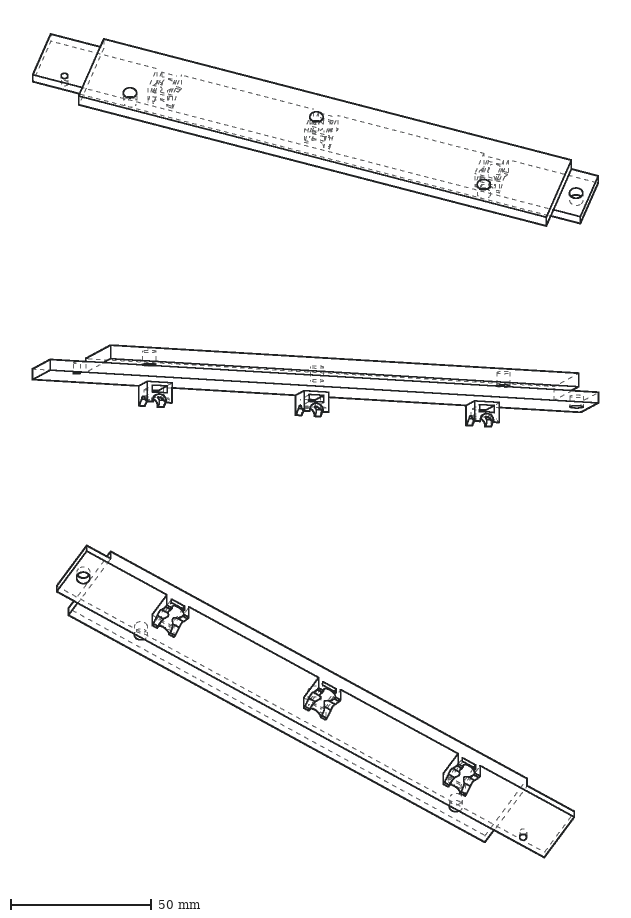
import cadquery as cq

BAR_LENGTH = 206.0
BAR_DEPTH = 20.0
BAR_THICKNESS = 4.0

PLATE_START = 20.0
PLATE_END = 196.0
PLATE_DEPTH = 28.0
PLATE_THICKNESS = 5.0

FOOT_CENTERS = (44.5, 103.5, 167.5)
FOOT_WIDTH = 9.3
FOOT_DEPTH = 9.9
FOOT_HEIGHT = 7.2
WINDOW_WIDTH = 5.5
WINDOW_HEIGHT = 2.5
WINDOW_ROOF = 1.2

ARCH_WIDTH = 5.0
ARCH_HEIGHT = 2.9

NOTCH_HEIGHT = 2.7
NOTCH_HALF_WIDTH = 4.1
CROWN_HALF_WIDTH = 1.5
CROWN_BASE = 1.9

PLATE_HOLE_DIAMETER = 4.7
PLATE_HOLES = ((36.9, 20.8), (103.5, 10.0), (170.0, 20.8))
END_HOLE_DIAMETER = 4.7
END_HOLE = (201.0, 10.0)
PIN_HOLE_DIAMETER = 2.5
PIN_HOLE = (11.0, 16.9)


def slab(x_start, x_end, depth, z_bottom, thickness):
    """Rectangular plate whose rear face lies on Y = 0."""
    return cq.Workplane("XY", origin=(x_start, -depth, z_bottom)).box(
        x_end - x_start, depth, thickness, centered=False
    )


def hole_cutter(place, diameter, z_bottom, depth):
    """Vertical cylinder at an (X, distance from rear) place."""
    x, from_rear = place
    return (
        cq.Workplane("XY", origin=(x, -from_rear, z_bottom))
        .circle(diameter / 2)
        .extrude(depth)
    )


def foot(x_center):
    """Foot with a window and an arch along Y and a sloped notch along X."""
    left = x_center - FOOT_WIDTH / 2
    block = slab(left, left + FOOT_WIDTH, FOOT_DEPTH, -FOOT_HEIGHT, FOOT_HEIGHT)

    window_left = x_center - WINDOW_WIDTH / 2
    window_bottom = -WINDOW_ROOF - WINDOW_HEIGHT
    window = slab(window_left, window_left + WINDOW_WIDTH, FOOT_DEPTH, window_bottom, WINDOW_HEIGHT)

    arch_radius = ARCH_WIDTH / 2
    arch = (
        cq.Workplane("XZ", origin=(x_center, 0, -FOOT_HEIGHT))
        .moveTo(-arch_radius, 0)
        .lineTo(-arch_radius, ARCH_HEIGHT - arch_radius)
        .threePointArc((0, ARCH_HEIGHT), (arch_radius, ARCH_HEIGHT - arch_radius))
        .lineTo(arch_radius, 0)
        .close()
        .extrude(FOOT_DEPTH)
    )
    notch = (
        cq.Workplane("YZ", origin=(left, -FOOT_DEPTH / 2, -FOOT_HEIGHT))
        .moveTo(-NOTCH_HALF_WIDTH, 0)
        .lineTo(-CROWN_HALF_WIDTH, CROWN_BASE)
        .threePointArc((0, NOTCH_HEIGHT), (CROWN_HALF_WIDTH, CROWN_BASE))
        .lineTo(NOTCH_HALF_WIDTH, 0)
        .close()
        .extrude(FOOT_WIDTH)
    )
    return block.cut(window).cut(arch).cut(notch)


bar = slab(0, BAR_LENGTH, BAR_DEPTH, 0, BAR_THICKNESS)
bar = bar.cut(hole_cutter(END_HOLE, END_HOLE_DIAMETER, 0, BAR_THICKNESS))
bar = bar.cut(hole_cutter(PIN_HOLE, PIN_HOLE_DIAMETER, 0, BAR_THICKNESS))

plate = slab(PLATE_START, PLATE_END, PLATE_DEPTH, BAR_THICKNESS, PLATE_THICKNESS)
for place in PLATE_HOLES:
    plate = plate.cut(hole_cutter(place, PLATE_HOLE_DIAMETER, BAR_THICKNESS, PLATE_THICKNESS))

result = bar.union(plate)
for x_center in FOOT_CENTERS:
    result = result.union(foot(x_center))